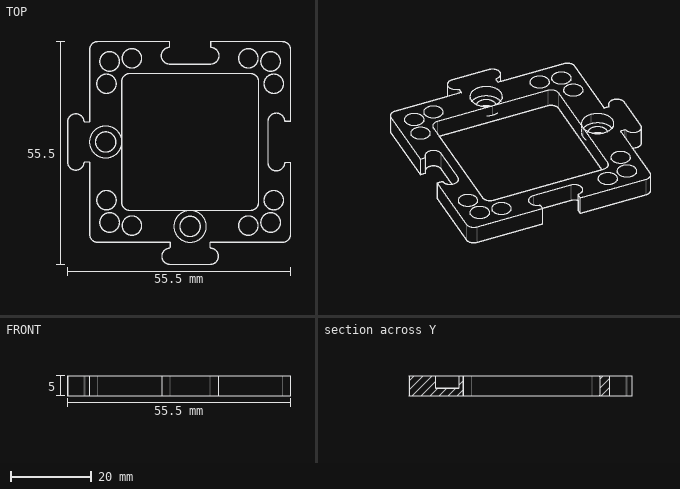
import cadquery as cq

overall_size = 55.5
thickness = 5.0
tab_length = 5.5
frame_size = overall_size - tab_length
half_frame = frame_size / 2
frame_center = overall_size / 2 - half_frame

bar_width = 8.0
window_size = frame_size - 2 * bar_width
corner_radius = 2.0

neck_width = 10.0
bulb_radius = 2.05
neck_fillet = 0.3
socket_clearance = 0.1

screw_diameter = 5.0
counterbore_diameter = bar_width
counterbore_depth = 3.0

corner_hole_diameter = 4.85
side_hole_diameter = 4.8
corner_hole_offset = 20.05
side_hole_near = 14.5
side_hole_far = 20.8


def rounded_square(size):
    return cq.Workplane("XY").rect(size, size).extrude(thickness).edges("|Z").fillet(corner_radius)


def connector(base_y, clearance=0.0):
    """T-shaped prism pointing along -Y, with its neck starting on the line y = base_y.

    The clearance widens each side and deepens the tip.
    """
    half_neck = neck_width / 2 + clearance
    tip_y = base_y - tab_length - clearance
    bulb_y = tip_y + bulb_radius
    shoulder_y = bulb_y + bulb_radius
    bulb_x = half_neck + bulb_radius
    profile = (
        cq.Workplane("XY")
        .moveTo(-half_neck, base_y)
        .lineTo(-half_neck, shoulder_y)
        .threePointArc((-bulb_x, bulb_y), (-half_neck, tip_y))
        .lineTo(half_neck, tip_y)
        .threePointArc((bulb_x, bulb_y), (half_neck, shoulder_y))
        .lineTo(half_neck, base_y)
        .close()
    )
    necks = cq.selectors.BoxSelector(
        (-half_neck - neck_fillet, shoulder_y - neck_fillet, -0.55),
        (half_neck + neck_fillet, shoulder_y + neck_fillet, thickness + 0.55),
    )
    return profile.extrude(thickness).edges("|Z").edges(necks).fillet(neck_fillet)


def quarter_turned(body):
    """Turn a body from the -Y side of the frame to the -X side."""
    return body.rotate((0, 0, 0), (0, 0, 1), -90)


def corner_holes():
    corner_points = []
    side_points = []
    for sx in (-1, 1):
        for sy in (-1, 1):
            corner_points.append((sx * corner_hole_offset, sy * corner_hole_offset))
            side_points.append((sx * side_hole_near, sy * side_hole_far))
            side_points.append((sx * side_hole_far, sy * side_hole_near))
    middle = cq.Workplane("XY").pushPoints(corner_points).circle(corner_hole_diameter / 2).extrude(thickness)
    sides = cq.Workplane("XY").pushPoints(side_points).circle(side_hole_diameter / 2).extrude(thickness)
    return middle.union(sides)


def screw_hole():
    """Stepped hole centered on the width of the -Y bar, counterbored from the top."""
    hole_y = -half_frame + bar_width / 2
    shank = cq.Workplane("XY").center(0, hole_y).circle(screw_diameter / 2).extrude(thickness)
    head = (
        cq.Workplane("XY", origin=(0, hole_y, thickness - counterbore_depth))
        .circle(counterbore_diameter / 2)
        .extrude(counterbore_depth)
    )
    return shank.union(head)


tab = connector(-half_frame)
socket = connector(half_frame, socket_clearance)
frame = rounded_square(frame_size).cut(rounded_square(window_size))
frame = frame.union(tab).union(quarter_turned(tab))
frame = frame.cut(socket).cut(quarter_turned(socket))
frame = frame.cut(screw_hole()).cut(quarter_turned(screw_hole()))
frame = frame.cut(corner_holes())

result = frame.translate((frame_center, frame_center, 0))